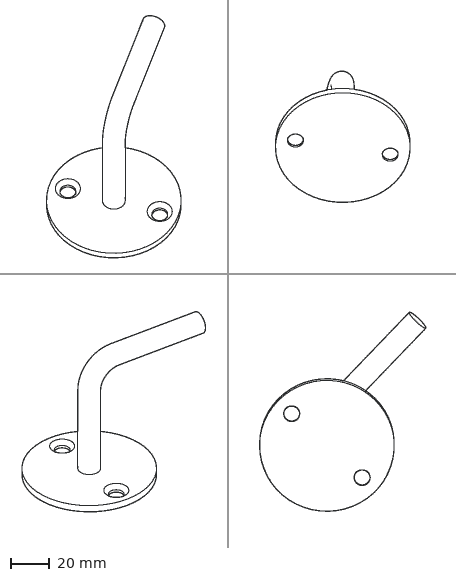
import cadquery as cq

plate_diameter = 70.0
plate_thickness = 4.0

rod_diameter = 12.0
overall_height = 75.0
overall_length = 104.0
bend_radius = 16.0

hole_diameter = 8.2
countersink_diameter = 13.0
countersink_angle = 90
hole_spacing = 50.0

plate_radius = plate_diameter / 2
rod_end_y = overall_length - plate_radius
rod_axis_height = overall_height - rod_diameter / 2


def make_plate():
    plate = cq.Workplane("XY").circle(plate_radius).extrude(plate_thickness)
    return (
        plate.faces(">Z")
        .workplane()
        .pushPoints([(-hole_spacing / 2, 0), (hole_spacing / 2, 0)])
        .cskHole(hole_diameter, countersink_diameter, countersink_angle)
    )


def make_rod():
    start_height = plate_thickness / 2
    axis_path = (
        cq.Workplane("YZ")
        .moveTo(0, start_height)
        .lineTo(0, rod_axis_height - bend_radius)
        .tangentArcPoint((bend_radius, rod_axis_height), relative=False)
        .lineTo(rod_end_y, rod_axis_height)
    )
    section = cq.Workplane("XY").workplane(offset=start_height).circle(rod_diameter / 2)
    return section.sweep(axis_path)


result = make_plate().union(make_rod())